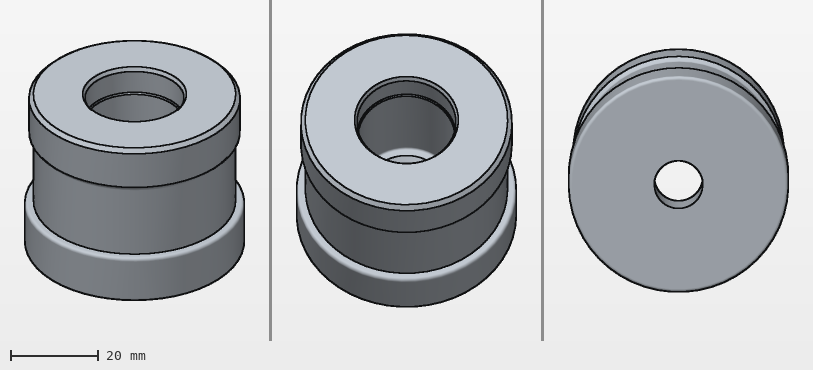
import cadquery as cq
import math

total_height = 40.0
flange_radius = 25.0
flange_height = 11.5
flange_edge_radius = 0.8

neck_radius = 23.0
neck_fillet_radius = 1.0

head_radius = 24.0
head_height = 10.0
head_chamfer = 1.0
head_underside_angle = math.radians(45.0)

mouth_radius = 11.8
lead_radius = 11.25
lead_depth = 6.5
bore_radius = 11.0
bore_taper_angle = math.radians(30.0)
bore_floor_z = flange_height
bore_floor_fillet = 0.5

seat_radius = 9.0
seat_angle = math.radians(60.0)
hole_radius = 5.5


def cone_height(large_radius, small_radius, half_angle):
    """Axial length of a cone that narrows between two radii."""
    return (large_radius - small_radius) / math.tan(half_angle)


def revolve_profile(profile):
    """Turn a closed radius-height profile about the Z axis."""
    return profile.close().revolve(360, (0, 0, 0), (0, 1, 0))


def make_body():
    """Flange, neck and head as one turned solid."""
    head_bottom_z = total_height - head_height
    neck_top_z = head_bottom_z - cone_height(head_radius, neck_radius, head_underside_angle)

    tangent_length = neck_fillet_radius * math.tan(head_underside_angle / 2)
    arc_end_radius = neck_radius + tangent_length * math.sin(head_underside_angle)
    arc_end_z = neck_top_z + tangent_length * math.cos(head_underside_angle)

    profile = (
        cq.Workplane("XZ")
        .lineTo(flange_radius - flange_edge_radius, 0)
        .radiusArc((flange_radius, flange_edge_radius), -flange_edge_radius)
        .lineTo(flange_radius, flange_height - flange_edge_radius)
        .radiusArc((flange_radius - flange_edge_radius, flange_height), -flange_edge_radius)
        .lineTo(neck_radius, flange_height)
        .lineTo(neck_radius, neck_top_z - tangent_length)
        .radiusArc((arc_end_radius, arc_end_z), neck_fillet_radius)
        .lineTo(head_radius, head_bottom_z)
        .lineTo(head_radius, total_height - head_chamfer)
        .lineTo(head_radius - head_chamfer, total_height)
        .lineTo(0, total_height)
    )
    return revolve_profile(profile)


def make_bore():
    """Stepped bore, rounded floor, countersink and through hole as one turned cutter."""
    mouth_bottom_z = total_height - cone_height(mouth_radius, lead_radius, bore_taper_angle)
    lead_bottom_z = total_height - lead_depth
    bore_top_z = lead_bottom_z - cone_height(lead_radius, bore_radius, bore_taper_angle)
    seat_bottom_z = bore_floor_z - cone_height(seat_radius, hole_radius, seat_angle)

    profile = (
        cq.Workplane("XZ")
        .lineTo(hole_radius, 0)
        .lineTo(hole_radius, seat_bottom_z)
        .lineTo(seat_radius, bore_floor_z)
        .lineTo(bore_radius - bore_floor_fillet, bore_floor_z)
        .radiusArc((bore_radius, bore_floor_z + bore_floor_fillet), -bore_floor_fillet)
        .lineTo(bore_radius, bore_top_z)
        .lineTo(lead_radius, lead_bottom_z)
        .lineTo(lead_radius, mouth_bottom_z)
        .lineTo(mouth_radius, total_height)
        .lineTo(0, total_height)
    )
    return revolve_profile(profile)


result = make_body().cut(make_bore())